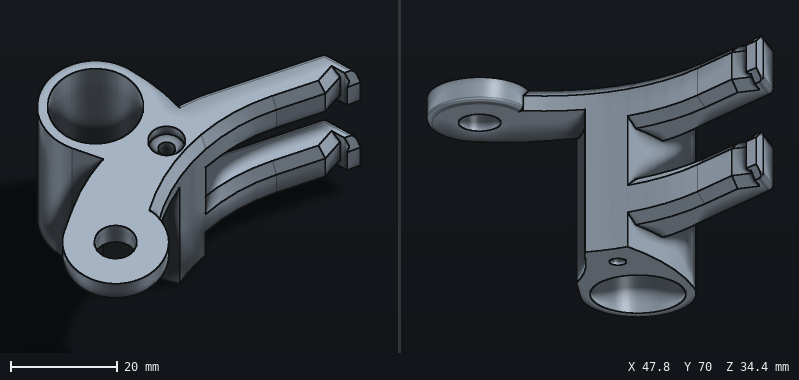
import cadquery as cq
import math


TUBE_RADIUS = 11.0
BORE_RADIUS = 9.0
HEIGHT = 34.4
TANGENT_ANGLE = 11.0

UPPER_WALL_RADIUS = 42.0
NOTCH_CORNER_X = 8.4
FRONT_WALL_MIDDLE = (13.5, -6.3)
FRONT_WALL_END = (19.95, -4.35)
BODY_REAR_Y = 4.75
FRONT_CORNER_Y = -3.65

SCREW_X = 15.75
SCREW_Y = 0.9
SCREW_RADIUS = 1.6
HEAD_RADIUS = 3.5
HEAD_DEPTH = 2.45

EYE_X = 21.85
EYE_Y = -24.5
EYE_RADIUS = 10.0
EYE_HOLE_RADIUS = 4.0
PLATE_THICKNESS = 5.05
PLATE_SIDE_ANGLE = 19.0
PLATE_SIDE_RADIUS = 42.0
PLATE_SIDE_LENGTH = 5.05

CONCAVE_RADIUS = 37.8
CONCAVE_X = 59.6
CONCAVE_Y = 0.15

ARM_HEIGHT = 9.45
ARM_TOPS = (0.0, -19.8)
ARM_ANGLE = 58.0
ARM_END_Y = 35.5
OUTER_BEND = (15.4, 15.4)
OUTER_ROOT = (11.35, 6.3)
INNER_ROOT_Y = 2.1
RIM_END_Y = 8.4
INNER_FACE_X = 32.8
HOOK_INNER_Y = 33.5
HOOK_BEND_X = 33.95
HOOK_OUTER_BEND_X = 34.7
HOOK_TIP = (36.75, 34.7)
BARB_TIP = (35.35, 32.3)
BARB_ROOT = (35.15, 33.25)

ROUND = 1.0
CHAMFER = 1.95
OVERLAP = 0.7


def concave_point(y):
    """Point of the concave side at the given Y."""
    return (CONCAVE_X - math.sqrt(CONCAVE_RADIUS**2 - (y - CONCAVE_Y) ** 2), y)


def upper_wall_point(x):
    """Point of the rear body wall at the given X."""
    return (x, TUBE_RADIUS - UPPER_WALL_RADIUS + math.sqrt(UPPER_WALL_RADIUS**2 - x**2))


def midpoint(start, end):
    return ((start[0] + end[0]) / 2, (start[1] + end[1]) / 2)


def cylinder(x, y, radius, depth):
    """Upright cylinder reaching down from the top of the part."""
    return cq.Workplane("XY").center(x, y).circle(radius).extrude(-depth)


def pick(solid, points, levels):
    """Edges of the solid nearest to the given XY points at each Z level."""
    edges = []
    for x, y in points:
        for z in levels:
            edges += solid.edges(cq.NearestToPointSelector((x, y, z))).vals()
    return solid.newObject(edges)


tangent = math.radians(TANGENT_ANGLE)
TUBE_TANGENT = (TUBE_RADIUS * math.sin(tangent), -TUBE_RADIUS * math.cos(tangent))
NOTCH_CORNER = (
    NOTCH_CORNER_X,
    TUBE_TANGENT[1] + (NOTCH_CORNER_X - TUBE_TANGENT[0]) * math.tan(tangent),
)

slope = math.radians(ARM_ANGLE)
INNER_BEND = (
    CONCAVE_X - CONCAVE_RADIUS * math.sin(slope),
    CONCAVE_Y + CONCAVE_RADIUS * math.cos(slope),
)


def make_body():
    front_corner = concave_point(FRONT_CORNER_Y)
    rear_corner = concave_point(BODY_REAR_Y)
    return (
        cq.Workplane("XY")
        .moveTo(0, TUBE_RADIUS)
        .threePointArc((-TUBE_RADIUS, 0), TUBE_TANGENT)
        .lineTo(*NOTCH_CORNER)
        .threePointArc(FRONT_WALL_MIDDLE, FRONT_WALL_END)
        .lineTo(*front_corner)
        .threePointArc(concave_point(CONCAVE_Y), rear_corner)
        .threePointArc(upper_wall_point(rear_corner[0] / 2), (0, TUBE_RADIUS))
        .close()
        .extrude(-HEIGHT)
    )


def make_eye_plate():
    side = math.radians(PLATE_SIDE_ANGLE)
    side_end = (EYE_X - EYE_RADIUS * math.cos(side), EYE_Y - EYE_RADIUS * math.sin(side))
    side_step = (PLATE_SIDE_LENGTH * math.sin(side), -PLATE_SIDE_LENGTH * math.cos(side))
    side_start = (side_end[0] - side_step[0], side_end[1] - side_step[1])
    side_centre_x = side_start[0] + PLATE_SIDE_RADIUS * math.cos(side)
    side_centre_y = side_start[1] + PLATE_SIDE_RADIUS * math.sin(side)
    side_top = (side_centre_x - PLATE_SIDE_RADIUS, side_centre_y)
    side_middle = (
        side_centre_x - PLATE_SIDE_RADIUS * math.cos(side / 2),
        side_centre_y - PLATE_SIDE_RADIUS * math.sin(side / 2),
    )
    reach_x = CONCAVE_X - EYE_X
    reach_y = CONCAVE_Y - EYE_Y
    reach = math.hypot(reach_x, reach_y)
    along = (reach**2 + EYE_RADIUS**2 - CONCAVE_RADIUS**2) / (2 * reach)
    crossing = math.atan2(reach_y, reach_x) + math.acos(along / EYE_RADIUS)
    neck = (EYE_X + EYE_RADIUS * math.cos(crossing), EYE_Y + EYE_RADIUS * math.sin(crossing))
    web = (
        cq.Workplane("XY")
        .moveTo(EYE_X, EYE_Y)
        .lineTo(*neck)
        .threePointArc(concave_point((neck[1] + FRONT_CORNER_Y) / 2), concave_point(FRONT_CORNER_Y))
        .lineTo(SCREW_X, SCREW_Y)
        .close()
        .extrude(-PLATE_THICKNESS)
    )
    eye = (
        cq.Workplane("XY")
        .moveTo(*side_start)
        .lineTo(*side_end)
        .threePointArc((EYE_X + EYE_RADIUS, EYE_Y), (EYE_X, EYE_Y + EYE_RADIUS))
        .lineTo(EYE_X, EYE_Y)
        .lineTo(SCREW_X, SCREW_Y)
        .lineTo(side_top[0], SCREW_Y)
        .lineTo(*side_top)
        .threePointArc(side_middle, side_start)
        .close()
        .extrude(-PLATE_THICKNESS)
    )
    eye_bottom = (EYE_X, EYE_Y - EYE_RADIUS)
    return pick(eye, [eye_bottom], [-PLATE_THICKNESS]).fillet(ROUND).union(web)


def hook_tip_wedge(level, direction):
    """Wedge that chamfers the hook's tip face at one Z level, towards the arm's middle."""
    run_x = HOOK_TIP[0] - BARB_TIP[0]
    run_y = HOOK_TIP[1] - BARB_TIP[1]
    plane = cq.Plane((*BARB_TIP, level), xDir=(-run_y, run_x, 0), normal=(run_x, run_y, 0))
    return (
        cq.Workplane(plane)
        .workplane(offset=-OVERLAP)
        .moveTo(0, direction * CHAMFER)
        .lineTo(CHAMFER, 0)
        .lineTo(CHAMFER, -direction * OVERLAP)
        .lineTo(-OVERLAP, -direction * OVERLAP)
        .lineTo(-OVERLAP, direction * CHAMFER)
        .close()
        .extrude(math.hypot(run_x, run_y) + 2 * OVERLAP)
    )


def make_arm():
    inner_root = concave_point(INNER_ROOT_Y)
    inner_corner = (
        INNER_FACE_X,
        INNER_BEND[1] + (INNER_FACE_X - INNER_BEND[0]) * math.tan(slope),
    )
    hook_corner = (INNER_FACE_X, HOOK_INNER_Y)
    hook_bend = (HOOK_BEND_X, HOOK_INNER_Y)
    hook_outer_bend = (HOOK_OUTER_BEND_X, ARM_END_Y)
    outer_corner = (
        OUTER_BEND[0] + (ARM_END_Y - OUTER_BEND[1]) / math.tan(slope),
        ARM_END_Y,
    )
    inner_middle = concave_point((INNER_ROOT_Y + INNER_BEND[1]) / 2)
    arm = (
        cq.Workplane("XY")
        .moveTo(*inner_root)
        .threePointArc(inner_middle, INNER_BEND)
        .lineTo(*inner_corner)
        .lineTo(*hook_corner)
        .lineTo(*hook_bend)
        .lineTo(*BARB_ROOT)
        .lineTo(*BARB_TIP)
        .lineTo(*HOOK_TIP)
        .lineTo(*hook_outer_bend)
        .lineTo(*outer_corner)
        .lineTo(*OUTER_BEND)
        .tangentArcPoint(OUTER_ROOT, relative=False)
        .close()
        .extrude(-ARM_HEIGHT)
    )
    levels = (0, -ARM_HEIGHT)
    chamfered = [
        inner_middle,
        midpoint(INNER_BEND, inner_corner),
        midpoint(inner_corner, hook_corner),
    ]
    arm = pick(arm, chamfered, levels).chamfer(CHAMFER)
    arm = pick(arm, [outer_corner], [-ARM_HEIGHT / 2]).fillet(ROUND)
    rounded = [
        midpoint(OUTER_ROOT, OUTER_BEND),
        midpoint(OUTER_BEND, outer_corner),
        outer_corner,
        midpoint(outer_corner, hook_outer_bend),
        midpoint(hook_outer_bend, HOOK_TIP),
    ]
    arm = pick(arm, rounded, levels).fillet(ROUND)
    for level, direction in zip(levels, (-1, 1)):
        arm = arm.cut(hook_tip_wedge(level, direction))
    return arm


def make_rim_chamfer():
    """Cutter for the top edge of the concave side, from the eye to the start of the arm."""
    base = cq.Vector(CONCAVE_X, CONCAVE_Y, -CHAMFER)
    cone = cq.Solid.makeCone(CONCAVE_RADIUS, CONCAVE_RADIUS + CHAMFER, CHAMFER, base)
    span = RIM_END_Y - EYE_Y
    stretch = (
        cq.Workplane("XY")
        .center(CONCAVE_X - CONCAVE_RADIUS, EYE_Y + span / 2)
        .rect(CONCAVE_RADIUS, span)
        .extrude(-CHAMFER)
    )
    eye = cylinder(EYE_X, EYE_Y, EYE_RADIUS, CHAMFER)
    return cq.Workplane(cone).intersect(stretch).cut(eye)


arm = make_arm()
result = make_body().union(make_eye_plate())
for top in ARM_TOPS:
    result = result.union(arm.translate((0, 0, top)))

result = result.cut(make_rim_chamfer())
result = result.cut(cylinder(0, 0, BORE_RADIUS, HEIGHT))
result = result.cut(cylinder(SCREW_X, SCREW_Y, SCREW_RADIUS, HEIGHT))
result = result.cut(cylinder(SCREW_X, SCREW_Y, HEAD_RADIUS, HEAD_DEPTH))
result = result.cut(cylinder(EYE_X, EYE_Y, EYE_HOLE_RADIUS, PLATE_THICKNESS))